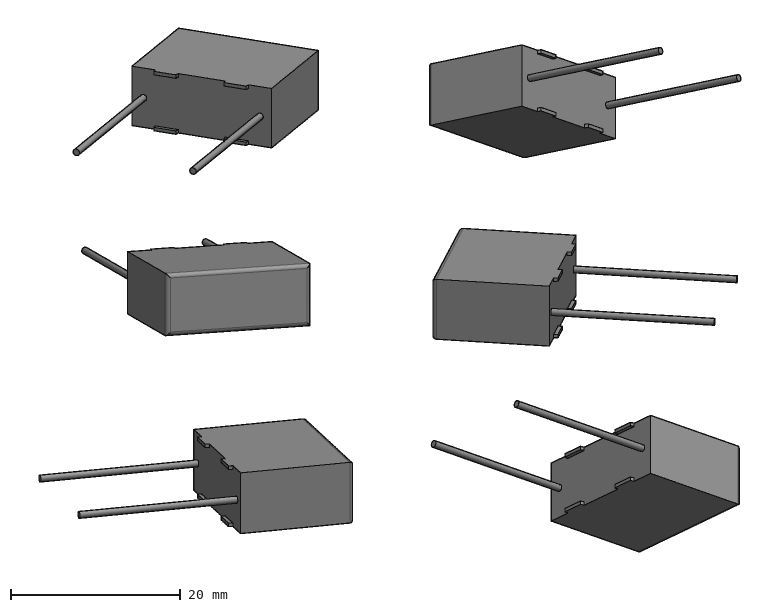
import cadquery as cq


total_length = 33.5
case_width = 18.0
case_height = 7.5

case_depth = 14.0
case_back_fillet = 0.5

tab_base_width = 3.0
tab_side_taper = 0.1
tab_length = 0.5
tab_thickness = 0.45
tab_spacing = 9.05

lead_diameter = 0.85
lead_pitch = 15.0
lead_length = total_length - case_depth


def make_tab(center_x, bottom_z):
    """One tapered tab, wide at the case and narrower at its free end."""
    half_base = tab_base_width / 2
    half_tip = half_base - tab_side_taper
    return (
        cq.Workplane("XY", origin=(center_x, 0, bottom_z))
        .polyline([
            (-half_base, 0),
            (half_base, 0),
            (half_tip, -tab_length),
            (-half_tip, -tab_length),
        ])
        .close()
        .extrude(tab_thickness)
    )


def make_case():
    """Block with a rounded rim at the back and four tabs on the lead face."""
    case = (
        cq.Workplane("XY")
        .box(case_width, case_depth, case_height, centered=(True, False, True))
        .faces(">Y")
        .edges()
        .fillet(case_back_fillet)
    )
    lower_tab_z = -case_height / 2
    upper_tab_z = case_height / 2 - tab_thickness
    for center_x in (-tab_spacing / 2, tab_spacing / 2):
        for bottom_z in (lower_tab_z, upper_tab_z):
            case = case.union(make_tab(center_x, bottom_z))
    return case


def make_lead(center_x):
    """One straight round wire that starts on the lead face of the case."""
    return (
        cq.Workplane("XZ", origin=(center_x, 0, 0))
        .circle(lead_diameter / 2)
        .extrude(lead_length)
    )


case = make_case()
leads = [make_lead(center_x) for center_x in (-lead_pitch / 2, lead_pitch / 2)]

result = cq.Compound.makeCompound([case.val(), *[lead.val() for lead in leads]])